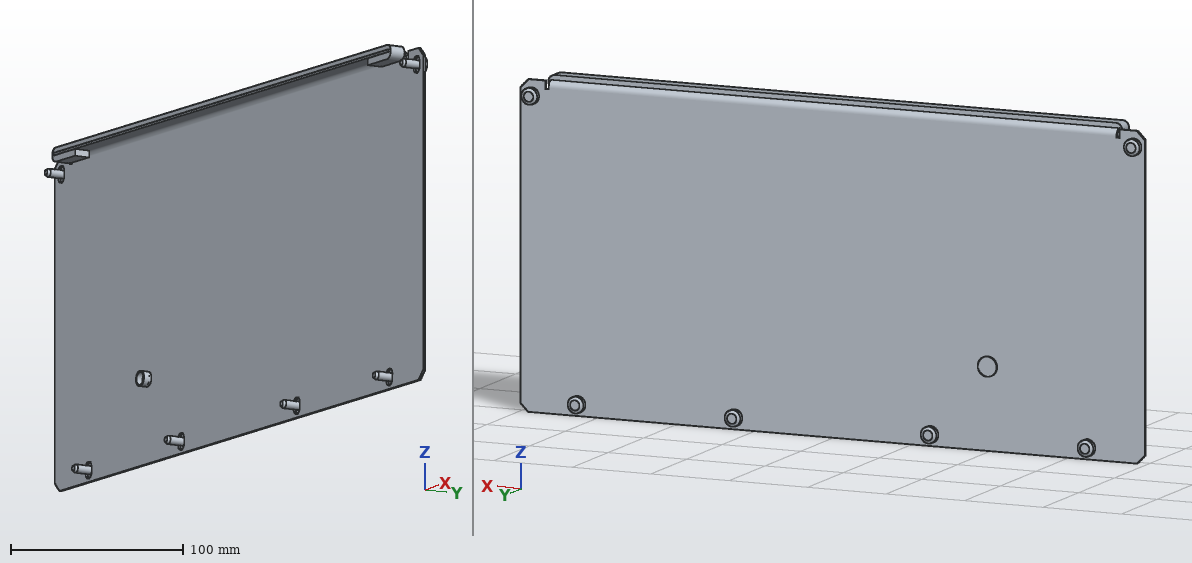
import cadquery as cq
import math

total_depth = 17.84
total_height = 199.5

trim_width = 366.0
trim_height = 8.5
trim_depth = 9.5
trim_lip = 3.0
clip_length = 25.0
trim_top = total_height
trim_bottom = trim_top - trim_height

panel_width = 398.0
panel_height = total_height - trim_lip
sheet = 1.5
panel_corner = 5.0

flange_width = 362.0
flange_reach = 14.0
bend_inner_radius = 2.5
bend_outer_radius = bend_inner_radius + sheet
bend_z = panel_height - bend_outer_radius

trim_back_y = -bend_outer_radius
trim_front_y = trim_back_y - trim_depth

relief_width = (trim_width - flange_width) / 2
relief_depth = 5.0

screw_radius = 2.5
screw_length = 12.0
tip_length = 1.7
tip_radius = 1.5
head_radius = 5.0
head_rim = 2.8
head_top_radius = 3.0
head_height = total_depth - flange_reach
slot_width = 6.5
slot_height = 10.0
edge_offset = 7.0
top_screw_x = panel_width / 2 - edge_offset
top_screw_z = 187.0
bottom_screw_x = (62.5, 162.5)
screw_places = [(side * top_screw_x, top_screw_z) for side in (-1, 1)]
screw_places += [(side * x, edge_offset) for x in bottom_screw_x for side in (-1, 1)]

plug_x = -99.0
plug_z = 50.0
plug_diameter = 9.0
plug_reach = 6.5
plug_bore_diameter = 7.5
plug_bore_depth = 4.0
plug_head_diameter = 12.0
plug_head_thickness = 1.0


def block(x_size, y_front, y_back, z_bottom, z_top, x_center=0.0):
    """Box given by its X size and its Y and Z limits."""
    size = (x_size, y_back - y_front, z_top - z_bottom)
    center = (x_center, (y_front + y_back) / 2, (z_bottom + z_top) / 2)
    return cq.Workplane("XY").box(*size).translate(center)


def disc(x, y, z, diameter, length):
    """Cylinder along Y that starts at y and runs forward, or backward for a negative length."""
    return cq.Workplane("XZ", origin=(x, y, z)).circle(diameter / 2).extrude(length)


def make_flange():
    """Flange and bend as one L-shaped strip, drawn in the YZ plane and extruded along X."""
    diagonal = math.sqrt(0.5)

    def bend_middle(radius):
        return (radius * diagonal - bend_outer_radius, bend_z + radius * diagonal)

    return (
        cq.Workplane("YZ", origin=(-flange_width / 2, 0, 0))
        .moveTo(0, bend_z)
        .threePointArc(bend_middle(bend_outer_radius), (-bend_outer_radius, panel_height))
        .lineTo(-flange_reach, panel_height)
        .lineTo(-flange_reach, panel_height - sheet)
        .lineTo(-bend_outer_radius, panel_height - sheet)
        .threePointArc(bend_middle(bend_inner_radius), (-sheet, bend_z))
        .close()
        .extrude(flange_width)
    )


def make_panel():
    """Sheet with cut corners, bent top flange, screw slots and plug hole."""
    panel = block(panel_width, -sheet, 0, 0, panel_height).edges("|Y").chamfer(panel_corner)
    panel = panel.cut(block(flange_width, -sheet, 0, bend_z, panel_height))
    for side in (-1, 1):
        relief_x = side * (flange_width + relief_width) / 2
        panel = panel.cut(block(relief_width, -sheet, 0, panel_height - relief_depth, panel_height, relief_x))
    panel = panel.union(make_flange())
    for x, z in screw_places:
        slot = cq.Workplane("XZ", origin=(x, 0, z)).slot2D(slot_height, slot_width, 90).extrude(sheet)
        panel = panel.cut(slot)
    return panel.cut(disc(plug_x, 0, plug_z, plug_diameter, sheet))


def make_trim():
    """Bar with round ends, slotted for the flange and cut away below it between the end clips."""
    bar = (
        cq.Workplane("XZ", origin=(0, trim_back_y, trim_top - trim_height / 2))
        .slot2D(trim_width, trim_height)
        .extrude(trim_depth)
    )
    flange_bottom = panel_height - sheet
    flange_slot = block(flange_width, trim_front_y, trim_back_y, flange_bottom, panel_height)
    gap_width = trim_width - 2 * clip_length
    gap = block(gap_width, trim_front_y, trim_back_y, trim_bottom, flange_bottom)
    return bar.cut(flange_slot).cut(gap)


def make_screw(x, z):
    """Turned screw: bevelled head behind the panel, shank with a tapered tip pointing forward."""
    return (
        cq.Workplane("XY", origin=(x, 0, z))
        .moveTo(0, -screw_length)
        .lineTo(tip_radius, -screw_length)
        .lineTo(screw_radius, tip_length - screw_length)
        .lineTo(screw_radius, 0)
        .lineTo(head_radius, 0)
        .lineTo(head_radius, head_rim)
        .lineTo(head_top_radius, head_height)
        .lineTo(0, head_height)
        .close()
        .revolve(360, (0, 0, 0), (0, 1, 0))
    )


def make_plug():
    """Stem through the panel with a thin head behind it and a blind bore from the front."""
    stem = disc(plug_x, 0, plug_z, plug_diameter, plug_reach)
    head = disc(plug_x, 0, plug_z, plug_head_diameter, -plug_head_thickness)
    bore = disc(plug_x, plug_bore_depth - plug_reach, plug_z, plug_bore_diameter, plug_bore_depth)
    return stem.union(head).cut(bore)


panel = make_panel()
trim = make_trim()
screws = [make_screw(x, z) for x, z in screw_places]
plug = make_plug()

bodies = [panel, trim, *screws, plug]
result = cq.Compound.makeCompound([body.solids().val() for body in bodies])